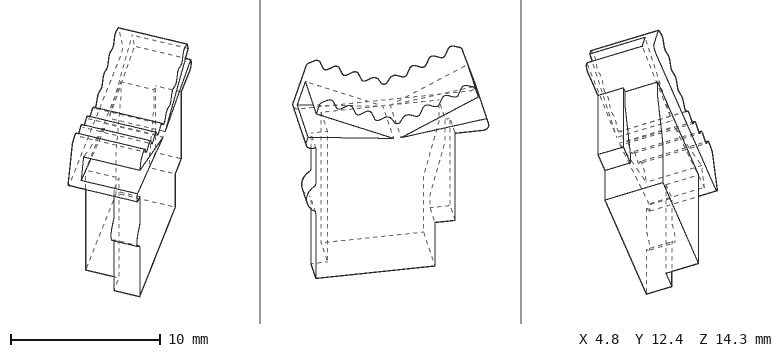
import cadquery as cq
import math

WIDTH = 4.8
HEIGHT = 14.27
HEAD_HALF_LENGTH = 6.22
HEAD_BASE_Z = 10.5

RIDGES_PER_SIDE = 4
RIDGE_PITCH = 1.3
RIDGE_DROP = 0.61
OUTER_CREST_Y = 4.45
CREST_ROUNDING_HEIGHT = 0.09
OUTER_CREST_Z = HEIGHT + CREST_ROUNDING_HEIGHT
CREST_TO_VALLEY_Y = 0.41
CREST_TO_VALLEY_Z = 1.01
SHOULDER_Y = 5.25
SHOULDER_Z = 14.05
MIDDLE_VALLEY_Z = 11.55
RIDGE_RADIUS = 0.3
MIDDLE_VALLEY_RADIUS = 0.23
INNER_CREST_RADIUS = 0.4
VALLEY_FLAT_RISE = 0.09
VALLEY_STEEP_RADIUS = 0.19
BASE_RADIUS = 0.4

POCKET_WALL = 0.87
POCKET_SILL_Z = 11.43
POCKET_MOUTH_Z = 13.24
POCKET_CEILING_SLOPE = 0.5
POCKET_FLOOR_SLOPE = 0.14

OUTER_PLATE_X = 0.67
INNER_PLATE_X = 2.98
OUTER_PLATE_FRONT_Y = -4.4
INNER_PLATE_FRONT_Y = -5.54
STEM_FOOT_BACK_Y = 2.55
OUTER_PLATE_BACK_Y = 3.58
INNER_PLATE_BACK_Y = 3.92
TAPER_TOP_Z = 8.72
TAPER_BOTTOM_Z = 4.52
BACK_STEP_Z = 3.5

BUMP_Z = 6.44
BUMP_HEIGHT = 0.63
BUMP_RADIUS = 1.18
BUMP_FILLET = 0.24


def prism(outline, x_start):
    """Extrude a closed YZ outline from x_start to the inner face of the part."""
    return outline.close().extrude(WIDTH - x_start)


def sketch(x_start):
    return cq.Workplane("YZ", origin=(x_start, 0, 0))


def rounded_outline(corners, x_start):
    """Closed outline through (y, z, radius) corners, each rounded by a tangent arc."""
    outline = None
    for index, (y, z, radius) in enumerate(corners):
        corner = cq.Vector(y, z)
        before = cq.Vector(*corners[index - 1][:2])
        after = cq.Vector(*corners[(index + 1) % len(corners)][:2])
        toward_before = (before - corner).normalized()
        toward_after = (after - corner).normalized()
        half_angle = toward_before.getAngle(toward_after) / 2
        tangent_length = radius / math.tan(half_angle)
        start = corner + toward_before * tangent_length
        end = corner + toward_after * tangent_length
        bisector = (toward_before + toward_after).normalized()
        middle = corner + bisector * (radius / math.sin(half_angle) - radius)
        if outline is None:
            outline = sketch(x_start).moveTo(start.x, start.y)
        else:
            outline = outline.lineTo(start.x, start.y)
        outline = outline.threePointArc((middle.x, middle.y), (end.x, end.y))
    return outline


def flank_base_y():
    """Y of the sharp base corner whose rounding just reaches the head's half length."""
    lean = math.atan2(HEAD_HALF_LENGTH - SHOULDER_Y, SHOULDER_Z - HEAD_BASE_Z)
    half_angle = (math.pi / 2 - lean) / 2
    return HEAD_HALF_LENGTH - BASE_RADIUS + BASE_RADIUS / math.tan(half_angle)


def flat_valley(y, z):
    """Two rounded corners of the narrow flat that truncates the sharp valley at (y, z)."""
    steep_slope = CREST_TO_VALLEY_Z / CREST_TO_VALLEY_Y
    gentle_slope = (CREST_TO_VALLEY_Z - RIDGE_DROP) / (RIDGE_PITCH - CREST_TO_VALLEY_Y)
    flat_z = z + VALLEY_FLAT_RISE
    return [
        (y + VALLEY_FLAT_RISE / steep_slope, flat_z, VALLEY_STEEP_RADIUS),
        (y - VALLEY_FLAT_RISE / gentle_slope, flat_z, RIDGE_RADIUS),
    ]


def head():
    side = [
        (flank_base_y(), HEAD_BASE_Z, BASE_RADIUS),
        (SHOULDER_Y, SHOULDER_Z, RIDGE_RADIUS),
    ]
    for ridge in range(RIDGES_PER_SIDE):
        crest_y = OUTER_CREST_Y - ridge * RIDGE_PITCH
        crest_z = OUTER_CREST_Z - ridge * RIDGE_DROP
        if ridge < RIDGES_PER_SIDE - 1:
            side.append((crest_y, crest_z, RIDGE_RADIUS))
            side.extend(flat_valley(crest_y - CREST_TO_VALLEY_Y, crest_z - CREST_TO_VALLEY_Z))
        else:
            side.append((crest_y, crest_z, INNER_CREST_RADIUS))
    middle_valley = (0, MIDDLE_VALLEY_Z, MIDDLE_VALLEY_RADIUS)
    mirrored = [(-y, z, radius) for y, z, radius in reversed(side)]
    return prism(rounded_outline(side + [middle_valley] + mirrored, 0), 0)


def pocket(end):
    """Wedge pocket: the ceiling slopes down to a floor that dips gently inward."""
    flank_run = (flank_base_y() - SHOULDER_Y) / (SHOULDER_Z - HEAD_BASE_Z)
    mouth_y = SHOULDER_Y + (SHOULDER_Z - POCKET_MOUTH_Z) * flank_run
    sill_y = SHOULDER_Y + (SHOULDER_Z - POCKET_SILL_Z) * flank_run
    ceiling_over_sill = POCKET_MOUTH_Z + (sill_y - mouth_y) * POCKET_CEILING_SLOPE
    closing_rate = POCKET_CEILING_SLOPE - POCKET_FLOOR_SLOPE
    depth = (ceiling_over_sill - POCKET_SILL_Z) / closing_rate
    outline = sketch(POCKET_WALL).polyline([
        (end * (sill_y - depth), POCKET_SILL_Z - depth * POCKET_FLOOR_SLOPE),
        (end * mouth_y, POCKET_MOUTH_Z),
        (end * sill_y, POCKET_SILL_Z),
    ])
    return prism(outline, POCKET_WALL)


def outer_plate():
    outline = sketch(OUTER_PLATE_X).polyline([
        (OUTER_PLATE_FRONT_Y, 0),
        (STEM_FOOT_BACK_Y, 0),
        (STEM_FOOT_BACK_Y, TAPER_BOTTOM_Z),
        (OUTER_PLATE_BACK_Y, TAPER_TOP_Z),
        (OUTER_PLATE_BACK_Y, HEAD_BASE_Z),
        (OUTER_PLATE_FRONT_Y, HEAD_BASE_Z),
    ])
    return prism(outline, OUTER_PLATE_X)


def inner_plate():
    center_depth = BUMP_RADIUS - BUMP_HEIGHT
    center_distance = BUMP_RADIUS + BUMP_FILLET
    root_half_height = math.sqrt(center_distance**2 - (center_depth + BUMP_FILLET) ** 2)
    bump_share = BUMP_RADIUS / center_distance
    arc_half_height = root_half_height * bump_share
    arc_end_y = INNER_PLATE_FRONT_Y + center_depth - (center_depth + BUMP_FILLET) * bump_share
    outline = (
        sketch(INNER_PLATE_X)
        .moveTo(INNER_PLATE_FRONT_Y, HEAD_BASE_Z)
        .lineTo(INNER_PLATE_FRONT_Y, BUMP_Z + root_half_height)
        .tangentArcPoint((arc_end_y, BUMP_Z + arc_half_height), relative=False)
        .threePointArc(
            (INNER_PLATE_FRONT_Y - BUMP_HEIGHT, BUMP_Z),
            (arc_end_y, BUMP_Z - arc_half_height),
        )
        .tangentArcPoint((INNER_PLATE_FRONT_Y, BUMP_Z - root_half_height), relative=False)
        .lineTo(INNER_PLATE_FRONT_Y, 0)
        .lineTo(STEM_FOOT_BACK_Y, 0)
        .lineTo(STEM_FOOT_BACK_Y, BACK_STEP_Z)
        .lineTo(INNER_PLATE_BACK_Y, BACK_STEP_Z)
        .lineTo(INNER_PLATE_BACK_Y, HEAD_BASE_Z)
    )
    return prism(outline, INNER_PLATE_X)


ridged_head = head()
for end in (-1, 1):
    ridged_head = ridged_head.cut(pocket(end))

result = ridged_head.union(outer_plate()).union(inner_plate())